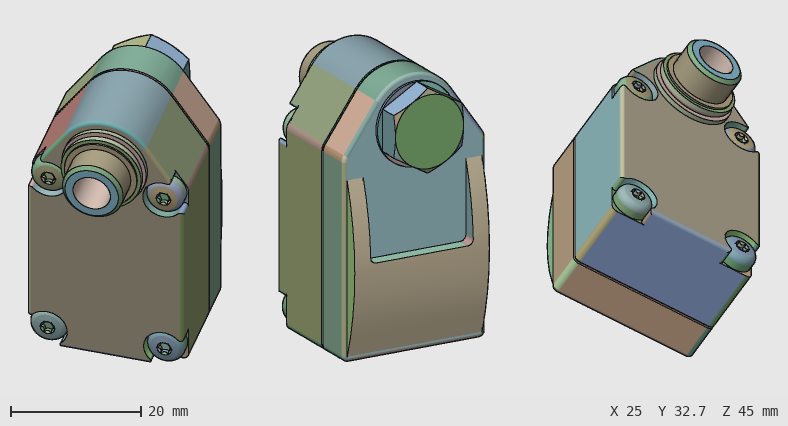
import cadquery as cq
import math


housing_width = 25.0
crown_radius = 8.0
shaft_to_bottom = 36.95
flank_angle = 35.0
front_shell_depth = 14.0
back_shell_depth = 6.65
shoulder_radius = 2.0
bottom_corner_radius = 1.0
face_edge_radius = 0.6
joint_chamfer = 0.2

pad_width = 23.75
pad_rise = 2.4
pad_length = 28.7
pad_center_z = -21.7
notch_width = 18.1
notch_corner_radius = 1.0
notch_floor_z = -20.7

pocket_radius = 3.25
pocket_depth = 2.8
mouth_radius = 0.5
upper_screw_x = 9.2
upper_screw_z = -4.75
lower_screw_x = 9.35
lower_screw_to_bottom = 3.2
head_radius = 3.0
head_rim_height = 1.2
head_crown_radius = 2.25
head_crown_height = 2.4
head_height = 2.65
socket_tip_radius = 1.2
socket_waist_radius = 0.8
socket_depth = 1.0
socket_lobes = 6
countersink_depth = 0.4

collar_radius = 6.75
collar_end = 0.8
ring_radius = 12.8 / 2
ring_round = 0.85
ring_end = 2.35
ring_step_radius = 5.8
ring_step_end = 2.65
nipple_radius = 4.85
nipple_end = 7.38
nipple_chamfer = 0.6
bore_radius = 6.0 / 2
bore_depth = 14.85
bore_point_angle = 118.0

spacer_radius = 5.95
spacer_thickness = 0.2
washer_radius = 13.8 / 2
washer_thickness = 0.5
nut_across_flats = 12.0
nut_height = 4.0
nut_chamfer_angle = 30.0

half_width = housing_width / 2
housing_depth = front_shell_depth + back_shell_depth
bottom_z = -shaft_to_bottom
flank_cos = math.cos(math.radians(flank_angle))
flank_sin = math.sin(math.radians(flank_angle))
shoulder_z = (crown_radius - half_width * flank_cos) / flank_sin


def xz_plane(y):
    """Sketch plane with local axes X and Z; a negative extrusion runs toward +Y."""
    return cq.Workplane("XZ", origin=(0, y, 0))


def revolve_about_shaft(profile):
    """Close a profile drawn as (radius, y) points and turn it about the shaft axis."""
    return profile.close().revolve(360, (0, 0, 0), (0, 1, 0))


def housing_block(y_start, depth):
    tangent_x = crown_radius * flank_cos
    tangent_z = crown_radius * flank_sin
    block = (
        xz_plane(y_start)
        .moveTo(-half_width, bottom_z)
        .lineTo(half_width, bottom_z)
        .lineTo(half_width, shoulder_z)
        .lineTo(tangent_x, tangent_z)
        .threePointArc((0, crown_radius), (-tangent_x, tangent_z))
        .lineTo(-half_width, shoulder_z)
        .close()
        .extrude(-depth)
    )
    for corner_z, radius in ((bottom_z, bottom_corner_radius), (shoulder_z, shoulder_radius)):
        for corner_x in (-half_width, half_width):
            corner = cq.selectors.NearestToPointSelector((corner_x, y_start + depth / 2, corner_z))
            block = block.edges("|Y").edges(corner).fillet(radius)
    return block


def housing():
    front = housing_block(0, front_shell_depth)
    front = front.faces("<Y").edges().fillet(face_edge_radius)
    front = front.faces(">Y").edges().chamfer(joint_chamfer)
    back = housing_block(front_shell_depth, back_shell_depth)
    back = back.faces(">Y").edges().fillet(face_edge_radius)
    back = back.faces("<Y").edges().chamfer(joint_chamfer)
    return front.union(back)


def pad():
    half_length = pad_length / 2
    top_z = pad_center_z + half_length
    arc_pad = (
        cq.Workplane("YZ", origin=(-pad_width / 2, 0, 0))
        .moveTo(housing_depth, pad_center_z - half_length)
        .threePointArc((housing_depth + pad_rise, pad_center_z), (housing_depth, top_z))
        .close()
        .extrude(pad_width)
    )
    notch_height = top_z - notch_floor_z
    notch = (
        cq.Workplane("XY")
        .box(notch_width, pad_rise, notch_height, centered=(True, False, False))
        .edges("|Y and <Z")
        .fillet(notch_corner_radius)
        .translate((0, housing_depth, notch_floor_z))
    )
    return arc_pad.cut(notch)


def wall_flare(wall_angle, wall_distance, side):
    """Rounding between a pocket and a wall: its points on the pocket, at the middle and on the wall.

    The wall normal points along wall_angle from the pocket centre; side picks the end (+1 or -1).
    """
    normal = cq.Vector(math.cos(wall_angle), math.sin(wall_angle))
    along = cq.Vector(-math.sin(wall_angle), math.cos(wall_angle)) * side
    center_distance = pocket_radius + mouth_radius
    center_height = wall_distance - mouth_radius
    center_shift = math.sqrt(center_distance**2 - center_height**2)
    center = normal * center_height + along * center_shift
    to_pocket = center * (-1 / center_distance)
    middle = (to_pocket + normal).normalized()
    return [center + direction * mouth_radius for direction in (to_pocket, middle, normal)]


def pocket(screw_x, screw_z, second_angle, second_distance):
    """Pocket on the +X side, open through the side wall and through a second wall."""
    turn = math.copysign(1, second_angle)
    side_flare = wall_flare(0, half_width - screw_x, -turn)
    second_flare = wall_flare(second_angle, second_distance, turn)
    reach = cq.Vector(2 * pocket_radius, 2 * pocket_radius * turn)

    def spot(point):
        return (screw_x + point.x, screw_z + point.y)

    plane = xz_plane(0)
    mouth = (
        plane.moveTo(screw_x, screw_z)
        .lineTo(*spot(side_flare[0]))
        .threePointArc(spot(side_flare[1]), spot(side_flare[2]))
        .lineTo(*spot(cq.Vector(reach.x, side_flare[2].y)))
        .lineTo(*spot(reach))
        .lineTo(*spot(cq.Vector(second_flare[2].x, reach.y)))
        .lineTo(*spot(second_flare[2]))
        .threePointArc(spot(second_flare[1]), spot(second_flare[0]))
        .close()
        .extrude(-pocket_depth)
    )
    round_part = plane.center(screw_x, screw_z).circle(pocket_radius).extrude(-pocket_depth)
    return round_part.union(mouth)


def polar(radius, angle):
    return (radius * math.cos(angle), radius * math.sin(angle))


def screw_head():
    """Round head with a six-lobe socket, on the Y axis with its seat at the pocket floor."""
    top_y = pocket_depth - head_height
    round_width = head_radius - head_crown_radius
    round_height = head_crown_height - head_rim_height
    round_radius = (round_width**2 + round_height**2) / (2 * round_width)
    round_sweep = math.asin(round_height / round_radius)
    round_middle = (
        head_radius - round_radius * (1 - math.cos(round_sweep / 2)),
        pocket_depth - head_rim_height - round_radius * math.sin(round_sweep / 2),
    )
    dome_rise = head_height - head_crown_height
    dome_middle = (head_crown_radius / 2, pocket_depth - head_crown_height - 0.75 * dome_rise)
    head = revolve_about_shaft(
        cq.Workplane("XY")
        .moveTo(0, pocket_depth)
        .lineTo(head_radius, pocket_depth)
        .lineTo(head_radius, pocket_depth - head_rim_height)
        .threePointArc(round_middle, (head_crown_radius, pocket_depth - head_crown_height))
        .threePointArc(dome_middle, (0, top_y))
    )
    step = 2 * math.pi / socket_lobes
    socket = xz_plane(top_y).moveTo(*polar(socket_tip_radius, 0))
    for lobe in range(socket_lobes):
        waist = polar(socket_waist_radius, (lobe + 0.5) * step)
        socket = socket.threePointArc(waist, polar(socket_tip_radius, (lobe + 1) * step))
    socket = socket.close().extrude(-socket_depth)
    countersink = revolve_about_shaft(
        cq.Workplane("XY")
        .moveTo(0, top_y)
        .lineTo(socket_tip_radius, top_y)
        .lineTo(socket_waist_radius, top_y + countersink_depth)
        .lineTo(0, top_y + countersink_depth)
    )
    return head.cut(socket).cut(countersink)


def nipple():
    round_center = (ring_radius - ring_round, -collar_end - ring_round)
    diagonal = ring_round / math.sqrt(2)
    return revolve_about_shaft(
        cq.Workplane("XY")
        .lineTo(collar_radius, 0)
        .lineTo(collar_radius, -collar_end)
        .lineTo(round_center[0], -collar_end)
        .threePointArc(
            (round_center[0] + diagonal, round_center[1] + diagonal),
            (ring_radius, round_center[1]),
        )
        .lineTo(ring_radius, -ring_end)
        .lineTo(ring_step_radius, -ring_end)
        .lineTo(ring_step_radius, -ring_step_end)
        .lineTo(nipple_radius, -ring_step_end)
        .lineTo(nipple_radius, -nipple_end + nipple_chamfer)
        .lineTo(nipple_radius - nipple_chamfer, -nipple_end)
        .lineTo(0, -nipple_end)
    )


def bore():
    floor_y = bore_depth - nipple_end
    point_length = bore_radius / math.tan(math.radians(bore_point_angle / 2))
    return revolve_about_shaft(
        cq.Workplane("XY")
        .moveTo(0, -nipple_end)
        .lineTo(bore_radius, -nipple_end)
        .lineTo(bore_radius, floor_y)
        .lineTo(0, floor_y + point_length)
    )


def nut():
    washer_y = housing_depth + spacer_thickness
    nut_y = washer_y + washer_thickness
    sides = 6
    flat_radius = nut_across_flats / 2
    corner_radius = flat_radius / math.cos(math.pi / sides)
    chamfer_drop = (corner_radius - flat_radius) * math.tan(math.radians(nut_chamfer_angle))
    hexagon = (
        xz_plane(nut_y)
        .transformed(rotate=(0, 0, 90))
        .polygon(sides, 2 * corner_radius)
        .extrude(-nut_height)
    )
    envelope = revolve_about_shaft(
        cq.Workplane("XY")
        .moveTo(0, nut_y)
        .lineTo(corner_radius, nut_y)
        .lineTo(corner_radius, nut_y + nut_height - chamfer_drop)
        .lineTo(flat_radius, nut_y + nut_height)
        .lineTo(0, nut_y + nut_height)
    )
    spacer = xz_plane(housing_depth).circle(spacer_radius).extrude(-spacer_thickness)
    washer = xz_plane(washer_y).circle(washer_radius).extrude(-washer_thickness)
    return spacer.union(washer).union(hexagon.intersect(envelope))


lower_screw_z = bottom_z + lower_screw_to_bottom
flank_distance = crown_radius - upper_screw_x * flank_cos - upper_screw_z * flank_sin
upper_pocket = pocket(upper_screw_x, upper_screw_z, math.radians(flank_angle), flank_distance)
lower_pocket = pocket(lower_screw_x, lower_screw_z, -math.pi / 2, lower_screw_to_bottom)

result = housing().union(pad())
for corner_pocket in (upper_pocket, lower_pocket):
    result = result.cut(corner_pocket).cut(corner_pocket.mirror("YZ"))

head = screw_head()
for screw_x, screw_z in ((upper_screw_x, upper_screw_z), (lower_screw_x, lower_screw_z)):
    for side in (-1, 1):
        result = result.union(head.translate((side * screw_x, 0, screw_z)))

result = result.union(nipple()).union(nut()).cut(bore())